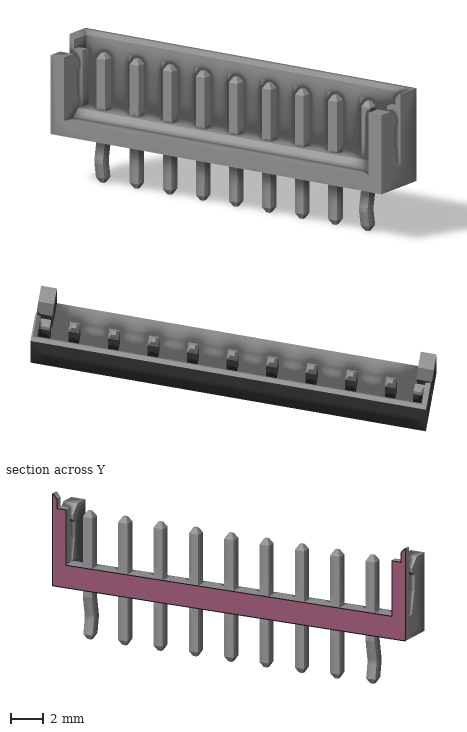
import cadquery as cq


length = 25.0
depth = 3.8
height = 6.0
floor_z = 1.5
back_wall = 0.42
side_wall = 0.35
side_wall_front_y = 2.05
lead_in_height = 0.3
back_lead_in = 0.12
side_lead_in = 0.25

sill_z = 1.0
sill_depth = 1.02

arm_width = 1.0
arm_top_z = 5.1
arm_top_depth = 1.02
hook_y = 1.65
hook_upper_z = 4.5
hook_lower_z = 4.22
neck_y = 1.35
neck_upper_z = 3.98
neck_lower_z = 2.95
arm_root_y = 1.7
pillar_depth = 0.65
pillar_chamfer = 0.15

pin_count = 9
pitch = 2.5
pin_size = 0.65
pin_tip_size = 0.25
pin_y = 2.2
pin_top_z = 5.15
pin_bottom_z = -3.2
tip_length = 0.35

kink_start_z = -0.38
kink_upper_z = -1.65
kink_lower_z = -1.88
kink_offset = 0.25
kink_end_offset = 0.08

rib_top_z = 4.9
rib_width = 0.5
rib_protrusion = 0.22
rib_root = back_wall / 2

half_length = length / 2
inner_half_length = half_length - side_wall
back_wall_y = depth - back_wall
first_pin_x = -pitch * (pin_count - 1) / 2


def extrude_side_profile(points, x_start, width):
    """Extrude a closed (Y, Z) outline along +X."""
    return cq.Workplane("YZ", origin=(x_start, 0, 0)).polyline(points).close().extrude(width)


def make_base():
    outline = [
        (0, 0),
        (depth, 0),
        (depth, floor_z),
        (sill_depth + floor_z - sill_z, floor_z),
        (sill_depth, sill_z),
        (0, sill_z),
    ]
    return extrude_side_profile(outline, -half_length, length)


def make_walls():
    """Back and side walls, with a sloped lead-in along their inner top edges."""
    block_depth = depth - side_wall_front_y
    cavity_depth = back_wall_y - side_wall_front_y
    block = (
        cq.Workplane("XY", origin=(0, side_wall_front_y + block_depth / 2, 0))
        .box(length, block_depth, height, centered=(True, True, False))
    )
    cavity = (
        cq.Workplane("XY", origin=(0, side_wall_front_y + cavity_depth / 2, floor_z))
        .box(2 * inner_half_length, cavity_depth, height, centered=(True, True, False))
    )
    lead_in = (
        cq.Workplane("XY", origin=(0, side_wall_front_y, height - lead_in_height))
        .rect(2 * inner_half_length, 2 * cavity_depth)
        .workplane(offset=lead_in_height)
        .rect(2 * (inner_half_length + side_lead_in), 2 * (cavity_depth + back_lead_in))
        .loft(combine=True)
    )
    return block.cut(cavity).cut(lead_in)


def make_latch_arm(x_start):
    outline = [
        (0, 0),
        (arm_root_y, 0),
        (arm_root_y, floor_z),
        (neck_y, neck_lower_z),
        (neck_y, neck_upper_z),
        (hook_y, hook_lower_z),
        (hook_y, hook_upper_z),
        (arm_top_depth, arm_top_z),
        (0, arm_top_z),
    ]
    return extrude_side_profile(outline, x_start, arm_width)


def make_pillar(x_start):
    pillar_back_y = side_wall_front_y + pillar_depth
    outline = [
        (side_wall_front_y, 0),
        (pillar_back_y, 0),
        (pillar_back_y, arm_top_z - pillar_chamfer),
        (pillar_back_y - pillar_chamfer, arm_top_z),
        (side_wall_front_y, arm_top_z),
    ]
    return extrude_side_profile(outline, x_start, arm_width)


def make_rib(x):
    return (
        cq.Workplane("XY", origin=(x, back_wall_y, 0))
        .moveTo(-rib_width / 2, 0)
        .lineTo(0, -rib_protrusion)
        .lineTo(rib_width / 2, 0)
        .lineTo(rib_width / 2, rib_root)
        .lineTo(-rib_width / 2, rib_root)
        .close()
        .extrude(rib_top_z)
    )


def make_tip(x, y, z_start, z_end):
    """Tapered pin end running from the full section to the small flat."""
    return (
        cq.Workplane("XY", origin=(x, y, z_start))
        .rect(pin_size, pin_size)
        .workplane(offset=z_end - z_start)
        .rect(pin_tip_size, pin_tip_size)
        .loft(combine=True)
    )


def make_pin(x, kinked):
    upper_z = pin_top_z - tip_length
    lower_z = pin_bottom_z + tip_length
    levels = [(upper_z, 0)]
    if kinked:
        levels += [
            (kink_start_z, 0),
            (kink_upper_z, kink_offset),
            (kink_lower_z, kink_offset),
        ]
    end_offset = kink_end_offset if kinked else 0
    levels.append((lower_z, end_offset))

    front = [(pin_y - pin_size / 2 - offset, z) for z, offset in levels]
    back = [(pin_y + pin_size / 2 - offset, z) for z, offset in reversed(levels)]
    shank = extrude_side_profile(front + back, x - pin_size / 2, pin_size)
    top_tip = make_tip(x, pin_y, upper_z, pin_top_z)
    bottom_tip = make_tip(x, pin_y - end_offset, lower_z, pin_bottom_z)
    return shank.union(top_tip).union(bottom_tip)


result = make_base().union(make_walls())

for end_x in (-half_length, half_length - arm_width):
    result = result.union(make_latch_arm(end_x)).union(make_pillar(end_x))

for index in range(pin_count - 1):
    result = result.union(make_rib(first_pin_x + (index + 0.5) * pitch))

for index in range(pin_count):
    is_end_pin = index in (0, pin_count - 1)
    result = result.union(make_pin(first_pin_x + index * pitch, is_end_pin))